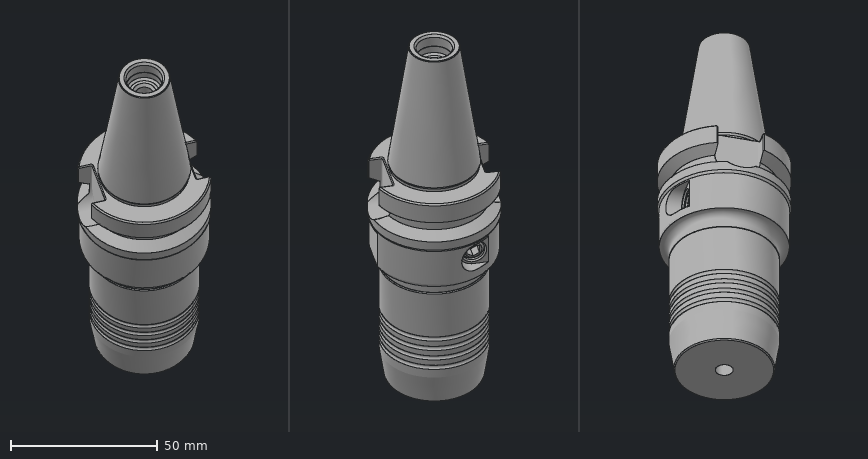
import cadquery as cq
import math

LENGTH = 138.4
CONE_START_Z = 11.5
SLEEVE_TOP_Z = 47.5
COLLAR_BOTTOM_Z = 52.7
FLANGE_BOTTOM_Z = 67.7
FLANGE_TOP_Z = 88.0
GAUGE_Z = 90.0
RELIEF_Z = 89.1

BORE_R = 3.0

GAUGE_R = 15.9
RELIEF_R = 15.5
TAPER_ON_DIAMETER = 7 / 24
TOP_R = GAUGE_R - (LENGTH - GAUGE_Z) * TAPER_ON_DIAMETER / 2
TOP_CHAMFER = 0.3

FLANGE_R = 23.0
FLANGE_CHAMFER = 0.5
FLANGE_CHAMFER_RISE = 1.0
V_FLOOR_R = 19.0
V_FLOOR_BOTTOM_Z = 74.5
V_FLOOR_TOP_Z = 78.0
V_WALL_RISE = (FLANGE_R - V_FLOOR_R) * math.tan(math.radians(30))

COLLAR_R = FLANGE_R - FLANGE_CHAMFER
COLLAR_CHAMFER_DROP = 0.8
COLLAR_CHAMFER_IN = 0.1
NECK_R = 18.7
NECK_FILLET = 2.9
FLAT_Y = 21.5
FLAT_TOP_Z = 67.0

SOCKET_MOUTH_R = 6.9
SOCKET_MOUTH_DEPTH = 0.8
SOCKET_R = 6.2
SOCKET_STEP_DEPTH = 4.5
SOCKET_STEP_R = 6.1
SOCKET_CONE_DEPTH = 7.2
SOCKET_FLOOR_R = 5.1
SOCKET_FLOOR_DEPTH = 7.8
BORE_MOUTH_R = 4.0

SLOT_HALF_WIDTH = 8.0
SLOT_FLOOR_Y = 16.3
SLOT_FILLET = 0.4
SLOT_EDGE_CHAMFER = 0.4
ON_WALL_TOLERANCE = 0.07
SLOT_ARC_Z = 78.3

PINION_Y = -10.0
PINION_Z = 61.6
POCKET_R = 5.4
POCKET_FLOOR_X = -16.5
PINION_R = 4.0
PINION_HOLE_CHAMFER = 0.5
PINION_FACE_X = -15.9
PINION_INNER_X = 0.0
PINION_CHAMFER = 1.0
HEX_ACROSS_FLATS = 4.4
HEX_DEPTH = 4.2

SLEEVE_R = 19.0
SLEEVE_CHAMFER = 0.4
NOSE_R = 17.3
NOSE_CHAMFER = 0.4
GRIP_COUNT = 4
GRIP_PITCH = 4.0
GRIP_LOWEST_Z = 15.9
GRIP_RADIUS = 1.0
GRIP_DEPTH = 0.5


def turned(points):
    """Solid of revolution about Z from (radius, z) points."""
    return cq.Workplane("XZ").polyline(points).close().revolve(360, (0, 0, 0), (0, 1, 0))


def holder_blank():
    """Taper, flange, collar and neck turned in one piece."""
    profile = (
        cq.Workplane("XZ")
        .moveTo(0, SLEEVE_TOP_Z)
        .lineTo(NECK_R, SLEEVE_TOP_Z)
        .lineTo(NECK_R, COLLAR_BOTTOM_Z - NECK_FILLET)
        .radiusArc((NECK_R + NECK_FILLET, COLLAR_BOTTOM_Z), NECK_FILLET)
        .lineTo(COLLAR_R - COLLAR_CHAMFER_IN, COLLAR_BOTTOM_Z)
        .lineTo(COLLAR_R, COLLAR_BOTTOM_Z + COLLAR_CHAMFER_DROP)
        .lineTo(COLLAR_R, FLANGE_BOTTOM_Z)
        .lineTo(FLANGE_R, FLANGE_BOTTOM_Z + FLANGE_CHAMFER_RISE)
        .lineTo(FLANGE_R, V_FLOOR_BOTTOM_Z - V_WALL_RISE)
        .lineTo(V_FLOOR_R, V_FLOOR_BOTTOM_Z)
        .lineTo(V_FLOOR_R, V_FLOOR_TOP_Z)
        .lineTo(FLANGE_R, V_FLOOR_TOP_Z + V_WALL_RISE)
        .lineTo(FLANGE_R, FLANGE_TOP_Z - FLANGE_CHAMFER)
        .lineTo(FLANGE_R - FLANGE_CHAMFER, FLANGE_TOP_Z)
        .lineTo(RELIEF_R, FLANGE_TOP_Z)
        .lineTo(RELIEF_R, RELIEF_Z)
        .lineTo(GAUGE_R, GAUGE_Z)
        .lineTo(TOP_R, LENGTH - TOP_CHAMFER)
        .lineTo(TOP_R - TOP_CHAMFER, LENGTH)
        .lineTo(0, LENGTH)
        .close()
    )
    return profile.revolve(360, (0, 0, 0), (0, 1, 0))


def taper_socket():
    """Stepped socket and through bore, cut from the small end of the taper."""
    floor_z = LENGTH - SOCKET_FLOOR_DEPTH
    return turned([
        (0, SLEEVE_TOP_Z),
        (BORE_R, SLEEVE_TOP_Z),
        (BORE_R, floor_z - (BORE_MOUTH_R - BORE_R)),
        (BORE_MOUTH_R, floor_z),
        (SOCKET_FLOOR_R, floor_z),
        (SOCKET_STEP_R, LENGTH - SOCKET_CONE_DEPTH),
        (SOCKET_STEP_R, LENGTH - SOCKET_STEP_DEPTH),
        (SOCKET_R, LENGTH - SOCKET_STEP_DEPTH),
        (SOCKET_R, LENGTH - SOCKET_MOUTH_DEPTH),
        (SOCKET_MOUTH_R, LENGTH),
        (0, LENGTH),
    ])


def drive_slot():
    """Round-bottomed slot cutter on the -Y side, filleted round its floor."""
    return (
        cq.Workplane("XZ", origin=(0, -SLOT_FLOOR_Y, 0))
        .moveTo(-SLOT_HALF_WIDTH, GAUGE_Z)
        .lineTo(-SLOT_HALF_WIDTH, SLOT_ARC_Z)
        .threePointArc((0, SLOT_ARC_Z - SLOT_HALF_WIDTH), (SLOT_HALF_WIDTH, SLOT_ARC_Z))
        .lineTo(SLOT_HALF_WIDTH, GAUGE_Z)
        .close()
        .extrude(FLANGE_R - SLOT_FLOOR_Y)
        .faces(">Y")
        .edges()
        .fillet(SLOT_FILLET)
    )


def collar_flat():
    """Block that leaves a flat on the +Y side of the collar."""
    return cq.Workplane("XY", origin=(0, FLAT_Y, COLLAR_BOTTOM_Z)).box(
        2 * COLLAR_R, FLANGE_R - FLAT_Y, FLAT_TOP_Z - COLLAR_BOTTOM_Z, centered=(True, False, False)
    )


def pinion_axis(x):
    """Sketch plane facing -X and centred on the pinion axis."""
    return cq.Workplane(cq.Plane((x, PINION_Y, PINION_Z), xDir=(0, -1, 0), normal=(-1, 0, 0)))


def pinion_pocket():
    """Pocket round the pinion that runs out on the -Y side, with the hole in its floor."""
    depth = COLLAR_R + POCKET_FLOOR_X
    pocket = pinion_axis(POCKET_FLOOR_X).circle(POCKET_R).extrude(depth)
    run_out = pinion_axis(POCKET_FLOOR_X).rect(COLLAR_R, 2 * POCKET_R, centered=(False, True)).extrude(depth)
    hole = pinion_axis(PINION_INNER_X).circle(PINION_R).extrude(PINION_INNER_X - POCKET_FLOOR_X)
    countersink = (
        pinion_axis(POCKET_FLOOR_X + PINION_HOLE_CHAMFER)
        .circle(PINION_R)
        .workplane(offset=PINION_HOLE_CHAMFER)
        .circle(PINION_R + PINION_HOLE_CHAMFER)
        .loft()
    )
    return pocket.union(run_out).union(hole).union(countersink)


def slotted_blank():
    """Holder blank with both drive slots, their edges chamfered on the flange top and rim."""
    slot = drive_slot()
    blank = holder_blank().cut(slot).cut(slot.mirror("XZ"))
    rim_y = math.sqrt(FLANGE_R**2 - SLOT_HALF_WIDTH**2)
    above_groove = cq.selectors.BoxSelector(
        (-FLANGE_R, -FLANGE_R, V_FLOOR_TOP_Z + V_WALL_RISE), (FLANGE_R, FLANGE_R, LENGTH)
    )

    def is_slot_corner(edge):
        centre = edge.Center()
        on_wall = abs(abs(centre.x) - SLOT_HALF_WIDTH) < ON_WALL_TOLERANCE
        on_top = centre.z > FLANGE_TOP_Z - FLANGE_CHAMFER
        on_rim = abs(centre.y) > rim_y - FLANGE_CHAMFER
        return on_wall and (on_top or on_rim)

    corners = [edge for edge in blank.edges(above_groove).vals() if is_slot_corner(edge)]
    return blank.newObject(corners).chamfer(SLOT_EDGE_CHAMFER)


def make_holder():
    return (
        slotted_blank()
        .cut(taper_socket())
        .cut(collar_flat())
        .cut(pinion_pocket())
    )


def hex_socket():
    """Hexagonal key socket with flats above and below and a conical bottom."""
    flat_r = HEX_ACROSS_FLATS / 2
    floor_x = PINION_FACE_X + HEX_DEPTH
    bottom = cq.Solid.makeCone(
        flat_r, 0, flat_r, pnt=cq.Vector(floor_x, PINION_Y, PINION_Z), dir=cq.Vector(1, 0, 0)
    )
    return (
        pinion_axis(floor_x)
        .polygon(6, HEX_ACROSS_FLATS, circumscribed=True)
        .extrude(HEX_DEPTH)
        .union(cq.Workplane(obj=bottom))
    )


def make_pinion():
    """Round pinion with a chamfered end and a key socket."""
    return (
        pinion_axis(PINION_INNER_X)
        .circle(PINION_R)
        .extrude(PINION_INNER_X - PINION_FACE_X)
        .faces("<X")
        .chamfer(PINION_CHAMFER)
        .cut(hex_socket())
    )


def grip_groove(z):
    """Round-section ring that cuts one grip groove."""
    centre_r = SLEEVE_R + GRIP_RADIUS - GRIP_DEPTH
    return cq.Workplane("XZ").center(centre_r, z).circle(GRIP_RADIUS).revolve(
        360, (-centre_r, 0, 0), (-centre_r, 1, 0)
    )


def make_sleeve():
    """Sleeve with a conical nose, a through bore and a row of grip grooves."""
    sleeve = turned([
        (BORE_R, 0),
        (NOSE_R - NOSE_CHAMFER, 0),
        (NOSE_R, NOSE_CHAMFER),
        (SLEEVE_R, CONE_START_Z),
        (SLEEVE_R, SLEEVE_TOP_Z - SLEEVE_CHAMFER),
        (SLEEVE_R - SLEEVE_CHAMFER, SLEEVE_TOP_Z),
        (BORE_R, SLEEVE_TOP_Z),
    ])
    for index in range(GRIP_COUNT):
        sleeve = sleeve.cut(grip_groove(GRIP_LOWEST_Z + index * GRIP_PITCH))
    return sleeve


holder = make_holder()
sleeve = make_sleeve()
pinion = make_pinion()

result = cq.Compound.makeCompound([holder.val(), sleeve.val(), pinion.val()])